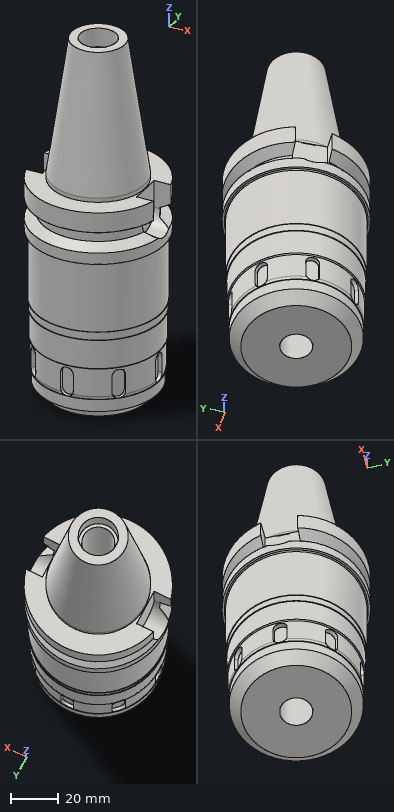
import cadquery as cq
import math

GAUGE_HEIGHT = 105.0
TAPER_LENGTH = 65.4
TOTAL_HEIGHT = GAUGE_HEIGHT + TAPER_LENGTH

GAUGE_RADIUS = 44.45 / 2
TAPER_RATE = 7 / 24
SHANK_END_RADIUS = GAUGE_RADIUS - TAPER_LENGTH * TAPER_RATE / 2

FLANGE_RADIUS = 31.5
FLANGE_TOP = GAUGE_HEIGHT - 2.0
FLANGE_BOTTOM = GAUGE_HEIGHT - 27.0
GROOVE_RADIUS = 26.5
GROOVE_CENTER = GAUGE_HEIGHT - 16.5
GROOVE_ROOT_HALF_WIDTH = 2.1
GROOVE_SIDE_ANGLE = 30.0
GROOVE_SIDE_RISE = (FLANGE_RADIUS - GROOVE_RADIUS) * math.tan(math.radians(GROOVE_SIDE_ANGLE))
GROOVE_MOUTH_HALF_WIDTH = GROOVE_ROOT_HALF_WIDTH + GROOVE_SIDE_RISE

KEY_SLOT_WIDTH = 16.1
KEY_SLOT_FLOOR = 22.5
KEY_SLOT_BOTTOM = FLANGE_TOP - 21.0
KEY_SLOT_SIDES = (-1, 1)

BODY_RADIUS = 30.0
NECK_CHAMFER = 0.5
BODY_BOTTOM = 44.3
SEAL_RADIUS = 29.8
SEAL_BOTTOM = 40.2

NUT_RADIUS = 29.5
NUT_GRIP_RADIUS = 29.0
NUT_GRIP_TOP = 25.9
NUT_GRIP_CHAMFER = NUT_RADIUS - NUT_GRIP_RADIUS
NUT_TAPER_TOP = 12.5
NUT_TAPER_BOTTOM = 10.9
NUT_TAPER_RADIUS = 28.75
NOSE_RADIUS = 28.5
NOSE_CHAMFER = 5.0

WRENCH_SLOT_COUNT = 8
WRENCH_SLOT_WIDTH = 6.0
WRENCH_SLOT_LENGTH = 14.0
WRENCH_SLOT_CENTER = 18.0
WRENCH_SLOT_FLOOR = 27.0

BORE_RADIUS = 7.0
DRAWBAR_RADIUS = 8.5
DRAWBAR_DEPTH = 9.0


def turned_body():
    """Revolve the outer half profile, from the nose up to the shank end."""
    profile = [
        (0, 0),
        (NOSE_RADIUS - NOSE_CHAMFER, 0),
        (NOSE_RADIUS, NOSE_CHAMFER),
        (NOSE_RADIUS, NUT_TAPER_BOTTOM),
        (NUT_TAPER_RADIUS, NUT_TAPER_BOTTOM),
        (NUT_GRIP_RADIUS, NUT_TAPER_TOP),
        (NUT_GRIP_RADIUS, NUT_GRIP_TOP),
        (NUT_RADIUS, NUT_GRIP_TOP + NUT_GRIP_CHAMFER),
        (NUT_RADIUS, SEAL_BOTTOM),
        (SEAL_RADIUS, SEAL_BOTTOM),
        (SEAL_RADIUS, BODY_BOTTOM),
        (BODY_RADIUS, BODY_BOTTOM),
        (BODY_RADIUS, FLANGE_BOTTOM - NECK_CHAMFER),
        (BODY_RADIUS + NECK_CHAMFER, FLANGE_BOTTOM),
        (FLANGE_RADIUS, FLANGE_BOTTOM),
        (FLANGE_RADIUS, GROOVE_CENTER - GROOVE_MOUTH_HALF_WIDTH),
        (GROOVE_RADIUS, GROOVE_CENTER - GROOVE_ROOT_HALF_WIDTH),
        (GROOVE_RADIUS, GROOVE_CENTER + GROOVE_ROOT_HALF_WIDTH),
        (FLANGE_RADIUS, GROOVE_CENTER + GROOVE_MOUTH_HALF_WIDTH),
        (FLANGE_RADIUS, FLANGE_TOP),
        (GAUGE_RADIUS, FLANGE_TOP),
        (GAUGE_RADIUS, GAUGE_HEIGHT),
        (SHANK_END_RADIUS, TOTAL_HEIGHT),
        (0, TOTAL_HEIGHT),
    ]
    return cq.Workplane("XZ").polyline(profile).close().revolve(360, (0, 0, 0), (0, 1, 0))


def key_slot(side):
    """Round-bottomed slot, open at the flange top, on the given side of X."""
    half_width = KEY_SLOT_WIDTH / 2
    arc_center = KEY_SLOT_BOTTOM + half_width
    return (
        cq.Workplane("YZ", origin=(side * KEY_SLOT_FLOOR, 0, 0))
        .moveTo(-half_width, FLANGE_TOP)
        .lineTo(-half_width, arc_center)
        .threePointArc((0, KEY_SLOT_BOTTOM), (half_width, arc_center))
        .lineTo(half_width, FLANGE_TOP)
        .close()
        .extrude(side * FLANGE_RADIUS)
    )


def wrench_slot(angle):
    """Flat-floored upright slot in the nut at the given angle about Z."""
    return (
        cq.Workplane("YZ", origin=(WRENCH_SLOT_FLOOR, 0, 0))
        .center(0, WRENCH_SLOT_CENTER)
        .slot2D(WRENCH_SLOT_LENGTH, WRENCH_SLOT_WIDTH, 90)
        .extrude(NUT_RADIUS)
        .rotate((0, 0, 0), (0, 0, 1), angle)
    )


def axial_bore():
    """Through bore, widened at the shank end for the drawbar."""
    bore = cq.Workplane("XY").circle(BORE_RADIUS).extrude(TOTAL_HEIGHT)
    drawbar = (
        cq.Workplane("XY", origin=(0, 0, TOTAL_HEIGHT)).circle(DRAWBAR_RADIUS).extrude(-DRAWBAR_DEPTH)
    )
    return bore.union(drawbar)


result = turned_body().cut(axial_bore())

for side in KEY_SLOT_SIDES:
    result = result.cut(key_slot(side))

for index in range(WRENCH_SLOT_COUNT):
    result = result.cut(wrench_slot(index * 360 / WRENCH_SLOT_COUNT))